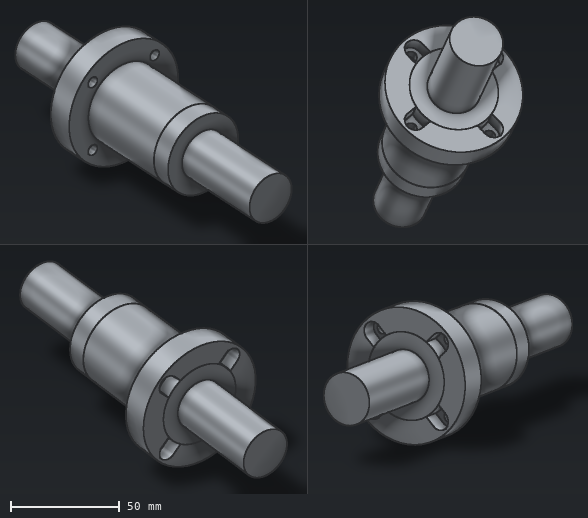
import cadquery as cq

shaft_length = 170.0
shaft_diameter = 25.2

flange_start = 50.0
flange_thickness = 13.5
flange_diameter = 65.0
nut_length = 60.9
barrel_diameter = 42.0

cap_diameter = 41.8
cap_thickness = 10.2

bolt_count = 4
bolt_circle_diameter = 52.0
bolt_hole_diameter = 5.5
bolt_recess_width = 9.5
bolt_recess_depth = 8.0
first_bolt_angle = 45.0

nut_end = flange_start + nut_length
bolt_radius = bolt_circle_diameter / 2


def cylinder(start, length, diameter):
    """Solid cylinder on the X axis, beginning at x = start."""
    return cq.Workplane("YZ", origin=(start, 0, 0)).circle(diameter / 2).extrude(length)


def bolt_cut(angle):
    """Through hole and round-ended recess, turned about X by angle."""
    face = cq.Workplane("YZ", origin=(flange_start, 0, 0))
    hole = face.center(bolt_radius, 0).circle(bolt_hole_diameter / 2).extrude(flange_thickness)
    round_end = face.center(bolt_radius, 0).circle(bolt_recess_width / 2).extrude(bolt_recess_depth)
    channel = face.center(bolt_radius / 2, 0).rect(bolt_radius, bolt_recess_width).extrude(bolt_recess_depth)
    channel = channel.cut(cylinder(flange_start, bolt_recess_depth, cap_diameter))
    return hole.union(round_end).union(channel).rotate((0, 0, 0), (1, 0, 0), angle)


def make_shaft():
    return cylinder(0, shaft_length, shaft_diameter)


def make_nut():
    nut = cylinder(flange_start, flange_thickness, flange_diameter)
    nut = nut.union(cylinder(flange_start, nut_length, barrel_diameter))
    nut = nut.cut(cylinder(flange_start, nut_length, shaft_diameter))
    nut = nut.cut(cylinder(flange_start, cap_thickness, cap_diameter))
    for index in range(bolt_count):
        nut = nut.cut(bolt_cut(first_bolt_angle + index * 360 / bolt_count))
    return nut


def make_cap(start):
    cap = cylinder(start, cap_thickness, cap_diameter)
    return cap.cut(cylinder(start, cap_thickness, shaft_diameter))


shaft = make_shaft()
nut = make_nut()
caps = [make_cap(start) for start in (flange_start, nut_end)]

result = cq.Compound.makeCompound([shaft.val(), nut.val(), *[cap.val() for cap in caps]])